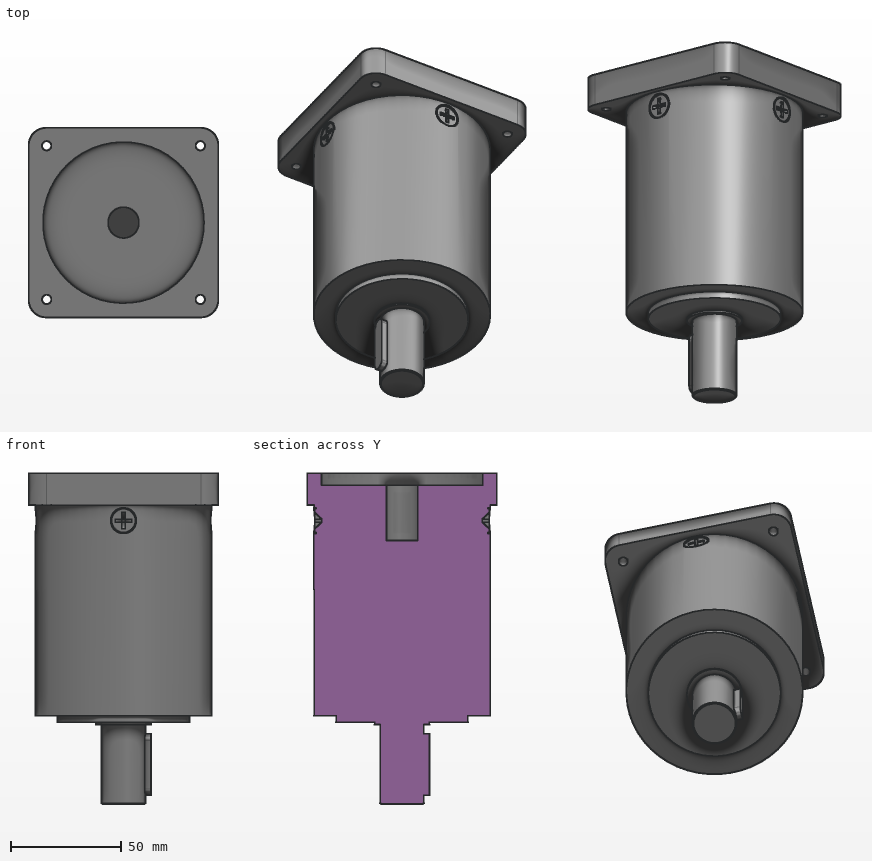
import cadquery as cq

flange_side = 86.0
flange_thickness = 14.5
flange_corner_radius = 8.0
body_diameter = 80.0
body_bottom = -110.0
pilot_diameter = 60.0
pilot_height = 3.0
collar_diameter = 25.0
collar_height = 1.0
shaft_diameter = 20.0
shaft_length = 36.0
shaft_chamfer = 0.5

pilot_bottom = body_bottom - pilot_height
collar_bottom = pilot_bottom - collar_height
shaft_bottom = collar_bottom - shaft_length

key_length = 28.0
key_width = 6.0
key_height = 6.0
key_seat_depth = 3.5
key_seat = shaft_diameter / 2 - key_seat_depth

motor_pilot_diameter = 73.0
motor_pilot_depth = 5.5
input_bore_diameter = 14.0
input_bore_depth = 25.0
mount_hole_spacing = 69.6
mount_hole_diameter = 4.13

screw_height = -21.55
screw_hole_diameter = 11.6
screw_groove_floor = 39.0
screw_head_diameter = 10.8
screw_face = 39.6
recess_length = 7.4
recess_width = 1.36
recess_depth = 3.2


def disc(diameter, bottom, top):
    """Solid cylinder on the gearbox axis between two levels."""
    return cq.Workplane("XY").workplane(offset=bottom).circle(diameter / 2).extrude(top - bottom)


def make_housing():
    flange = (
        cq.Workplane("XY")
        .rect(flange_side, flange_side)
        .extrude(-flange_thickness)
        .edges("|Z")
        .fillet(flange_corner_radius)
    )
    body = disc(body_diameter, body_bottom, -flange_thickness)
    pilot = disc(pilot_diameter, pilot_bottom, body_bottom)
    collar = disc(collar_diameter, collar_bottom, pilot_bottom)
    return flange.union(body).union(pilot).union(collar)


def make_shaft():
    shaft = disc(shaft_diameter, shaft_bottom, collar_bottom)
    return shaft.faces("<Z").chamfer(shaft_chamfer)


def make_key():
    key_middle = (collar_bottom + shaft_bottom) / 2
    return (
        cq.Workplane("YZ", origin=(key_seat, 0, key_middle))
        .slot2D(key_length, key_width, 90)
        .extrude(key_height)
    )


def cut_motor_face(part):
    motor_pilot = disc(motor_pilot_diameter, -motor_pilot_depth, 0)
    bore_bottom = -motor_pilot_depth - input_bore_depth
    bore = disc(input_bore_diameter, bore_bottom, -motor_pilot_depth)
    mount_holes = (
        cq.Workplane("XY")
        .rect(mount_hole_spacing, mount_hole_spacing, forConstruction=True)
        .vertices()
        .circle(mount_hole_diameter / 2)
        .extrude(-flange_thickness)
    )
    return part.cut(motor_pilot).cut(bore).cut(mount_holes)


def screw_cylinder(diameter, inner, outer):
    """Cylinder along +X at screw height, between two distances from the gearbox axis."""
    return (
        cq.Workplane("YZ", origin=(inner, 0, screw_height))
        .circle(diameter / 2)
        .extrude(outer - inner)
    )


def make_cross_recess():
    """Two crossed slots whose floors slope in from the arm ends to a small flat square."""
    slot = (
        cq.Workplane("XY", origin=(0, 0, screw_height))
        .moveTo(screw_face, -recess_length / 2)
        .lineTo(screw_face, recess_length / 2)
        .lineTo(screw_face - recess_depth, recess_width / 2)
        .lineTo(screw_face - recess_depth, -recess_width / 2)
        .close()
        .extrude(recess_width / 2, both=True)
    )
    crossing_slot = slot.rotate((0, 0, screw_height), (1, 0, screw_height), 90)
    return slot.union(crossing_slot)


def cut_screws(part):
    """Leave each screw head slightly sunk in the body, ringed by a shallow groove and cross-recessed."""
    hole = screw_cylinder(screw_hole_diameter, screw_groove_floor, body_diameter / 2)
    head = screw_cylinder(screw_head_diameter, screw_groove_floor, screw_face)
    screw_cut = hole.cut(head).union(make_cross_recess())
    for angle in (0, 90, 180, 270):
        part = part.cut(screw_cut.rotate((0, 0, 0), (0, 0, 1), angle))
    return part


result = cut_screws(cut_motor_face(make_housing().union(make_shaft()).union(make_key())))